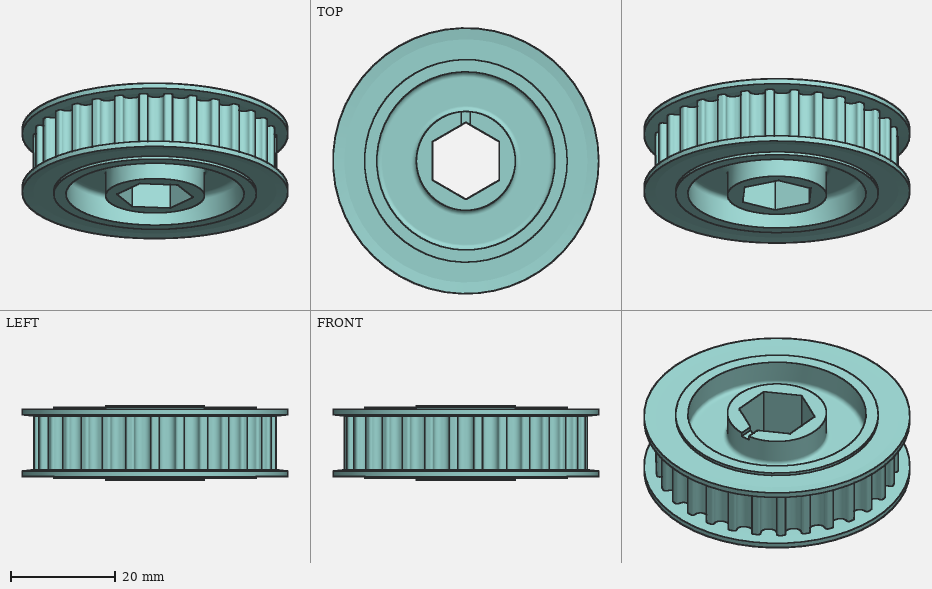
import cadquery as cq
import math

tooth_count = 30
rim_radius = 23.3
toothed_width = 10.3
groove_depth = 2.05
groove_half_width = 1.55
groove_floor_half_width = 0.25
groove_corner_radius = groove_half_width - groove_floor_half_width
tooth_tip_radius = 0.5
groove_pitch = 360 / tooth_count
first_groove_angle = groove_pitch / 2

shoulder_radius = 19.45
shoulder_width = 13.6

pocket_radius = 17.1
web_thickness = 3.05
hub_radius = 9.5
hub_width = 14.3
pocket_fillet_radius = 1.0

hex_across_flats = 12.75
notch_width = 1.75
notch_depth = 0.75

flange_radius = 25.5
flange_thickness = 1.05
flange_rise = 0.25


def polar_point(radius, angle):
    """Point at a distance from the Z axis, with the angle in degrees."""
    radians = math.radians(angle)
    return radius * math.cos(radians), radius * math.sin(radians)


def groove_points():
    """Half of one groove as (radial, sideways) points, from its floor centre to the tooth land."""
    floor_radial = rim_radius - groove_depth
    corner_radial = floor_radial + groove_corner_radius
    tip_sideways = groove_half_width + tooth_tip_radius
    tip_radial = math.sqrt((rim_radius - tooth_tip_radius) ** 2 - tip_sideways**2)
    land_angle = math.atan2(tip_sideways, tip_radial)
    tip_mid_angle = (land_angle - math.pi / 2) / 2
    diagonal = groove_corner_radius * math.sqrt(0.5)
    return {
        "floor": (floor_radial, groove_floor_half_width),
        "corner_mid": (corner_radial - diagonal, groove_floor_half_width + diagonal),
        "wall_bottom": (corner_radial, groove_half_width),
        "wall_top": (tip_radial, groove_half_width),
        "tip_mid": (
            tip_radial + tooth_tip_radius * math.cos(tip_mid_angle),
            tip_sideways + tooth_tip_radius * math.sin(tip_mid_angle),
        ),
        "land": polar_point(rim_radius, math.degrees(land_angle)),
    }


def toothed_outline():
    """Closed outline of the rim: a round-bottomed groove and a tooth land, repeated."""
    points = groove_points()

    def placed(name, side, angle):
        radial, sideways = points[name]
        radians = math.radians(angle)
        return (
            radial * math.cos(radians) - side * sideways * math.sin(radians),
            radial * math.sin(radians) + side * sideways * math.cos(radians),
        )

    outline = cq.Workplane("XY").moveTo(*placed("land", -1, first_groove_angle))
    for index in range(tooth_count):
        angle = first_groove_angle + index * groove_pitch
        next_angle = angle + groove_pitch
        outline = (
            outline.threePointArc(placed("tip_mid", -1, angle), placed("wall_top", -1, angle))
            .lineTo(*placed("wall_bottom", -1, angle))
            .threePointArc(placed("corner_mid", -1, angle), placed("floor", -1, angle))
            .lineTo(*placed("floor", 1, angle))
            .threePointArc(placed("corner_mid", 1, angle), placed("wall_bottom", 1, angle))
            .lineTo(*placed("wall_top", 1, angle))
            .threePointArc(placed("tip_mid", 1, angle), placed("land", 1, angle))
            .threePointArc(
                polar_point(rim_radius, angle + groove_pitch / 2),
                placed("land", -1, next_angle),
            )
        )
    return outline.close()


def make_pocket():
    """Ring-shaped pocket above the web, with both edges of its floor rounded."""
    floor_z = web_thickness / 2
    return (
        cq.Workplane("XY", origin=(0, 0, floor_z))
        .circle(pocket_radius)
        .circle(hub_radius)
        .extrude(hub_width / 2 - floor_z)
        .faces("<Z")
        .edges()
        .fillet(pocket_fillet_radius)
    )


def make_hex_bore():
    """Hexagonal prism with two corners on the Y axis."""
    corner_diameter = hex_across_flats / math.cos(math.pi / 6)
    return (
        cq.Workplane("XY", origin=(0, 0, -hub_width / 2))
        .transformed(rotate=(0, 0, 90))
        .polygon(6, corner_diameter)
        .extrude(hub_width)
    )


def make_index_notch():
    """Shallow radial slot across the top of the hub, on the +Y side of the bore."""
    return (
        cq.Workplane("XY", origin=(0, 0, hub_width / 2 - notch_depth))
        .rect(notch_width, hub_radius, centered=(True, False))
        .extrude(notch_depth)
    )


def make_pulley():
    """Toothed wheel with a shoulder, a web, a hub and a hexagonal bore."""
    pulley = toothed_outline().extrude(toothed_width / 2, both=True)
    shoulder = cq.Workplane("XY").circle(shoulder_radius).extrude(shoulder_width / 2, both=True)
    hub = cq.Workplane("XY").circle(hub_radius).extrude(hub_width / 2, both=True)
    upper_pocket = make_pocket()
    lower_pocket = upper_pocket.mirror("XY")
    return (
        pulley.union(shoulder)
        .cut(upper_pocket)
        .cut(lower_pocket)
        .union(hub)
        .cut(make_hex_bore())
        .cut(make_index_notch())
    )


def make_upper_flange():
    """Ring seated on the teeth around the shoulder, with its rim dished outward."""
    inner_z = toothed_width / 2
    outer_z = inner_z + flange_thickness
    return (
        cq.Workplane("XZ")
        .moveTo(shoulder_radius, inner_z)
        .lineTo(rim_radius, inner_z)
        .lineTo(flange_radius, inner_z + flange_rise)
        .lineTo(flange_radius, outer_z + flange_rise)
        .lineTo(rim_radius, outer_z)
        .lineTo(shoulder_radius, outer_z)
        .close()
        .revolve(360, (0, 0), (0, 1))
    )


pulley = make_pulley()
upper_flange = make_upper_flange()
lower_flange = upper_flange.mirror("XY")

result = cq.Compound.makeCompound([pulley.val(), upper_flange.val(), lower_flange.val()])